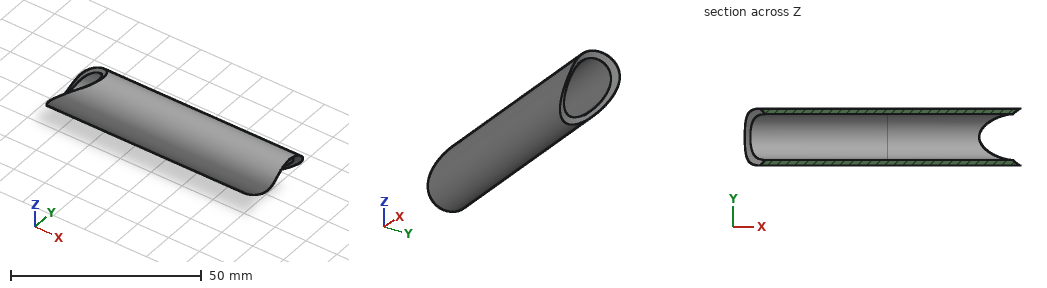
import cadquery as cq
import math

outer_radius = 7.5
wall_thickness = 1.5
inner_radius = outer_radius - wall_thickness

cope_angle = math.radians(45.0)
left_bar_radius = 12.5
right_bar_radius = 10.0
bar_axis_distance = 65.0

bar_gap = bar_axis_distance - left_bar_radius - right_bar_radius
half_gap_along_tube = bar_gap / math.sin(cope_angle) / 2
blank_half_length = half_gap_along_tube + 2 * outer_radius / math.tan(cope_angle)
bar_length = 12 * outer_radius


def make_blank():
    """Hollow round tube along X, centred on the origin and longer than the finished part."""
    profile = cq.Workplane("YZ").circle(outer_radius).circle(inner_radius)
    return profile.extrude(blank_half_length, both=True)


def make_bar(side, radius):
    """Slanted bar in the XZ plane that bounds one end of the tube; side is -1 for -X, +1 for +X."""
    axis = cq.Vector(math.cos(cope_angle), 0, math.sin(cope_angle))
    outward = cq.Vector(math.sin(cope_angle), 0, -math.cos(cope_angle)) * side
    contact = cq.Vector(side * half_gap_along_tube, 0, 0)
    middle = contact + outward * radius
    start = middle - axis * (bar_length / 2)
    return cq.Solid.makeCylinder(radius, bar_length, start, axis)


def cope_ends(blank):
    """Cut both ends with the bars and keep the piece between them."""
    coped = blank.cut(make_bar(-1, left_bar_radius)).cut(make_bar(1, right_bar_radius))
    between_bars = cq.selectors.NearestToPointSelector((0, 0, 0))
    return coped.solids(between_bars).val()


result = cq.Workplane(cope_ends(make_blank()))